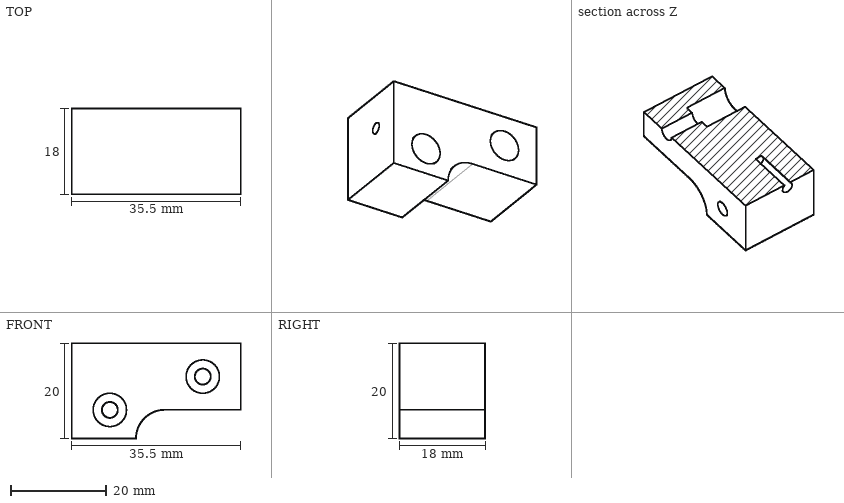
import cadquery as cq

length = 35.5
thickness = 18.0
height = 20.0

foot_length = 13.5
step_height = 6.0
step_radius = step_height

screw_centers = [(8.0, 6.0), (27.5, 13.0)]
screw_diameter = 3.3
counterbore_diameter = 7.0
counterbore_depth = 10.0

side_hole_diameter = 2.5
side_hole_depth = 10.0
side_hole_y = 7.0
side_hole_z = 12.0


def make_body():
    """Extrude the stepped XZ outline through the thickness."""
    arc_end_x = foot_length + step_radius
    arc_rise = step_radius * 0.5**0.5
    arc_middle = (arc_end_x - arc_rise, arc_rise)
    return (
        cq.Workplane("XZ")
        .lineTo(foot_length, 0)
        .threePointArc(arc_middle, (arc_end_x, step_height))
        .lineTo(length, step_height)
        .lineTo(length, height)
        .lineTo(0, height)
        .close()
        .extrude(-thickness)
    )


def cylinders_along_y(diameter, depth):
    """Cylinders at the screw centers, running from the -Y face to the given depth."""
    return cq.Workplane("XZ").pushPoints(screw_centers).circle(diameter / 2).extrude(-depth)


def cut_screw_holes(body):
    through_holes = cylinders_along_y(screw_diameter, thickness)
    counterbores = cylinders_along_y(counterbore_diameter, counterbore_depth)
    return body.cut(through_holes).cut(counterbores)


def cut_side_hole(body):
    hole = (
        cq.Workplane("YZ")
        .center(side_hole_y, side_hole_z)
        .circle(side_hole_diameter / 2)
        .extrude(side_hole_depth)
    )
    return body.cut(hole)


result = cut_side_hole(cut_screw_holes(make_body()))